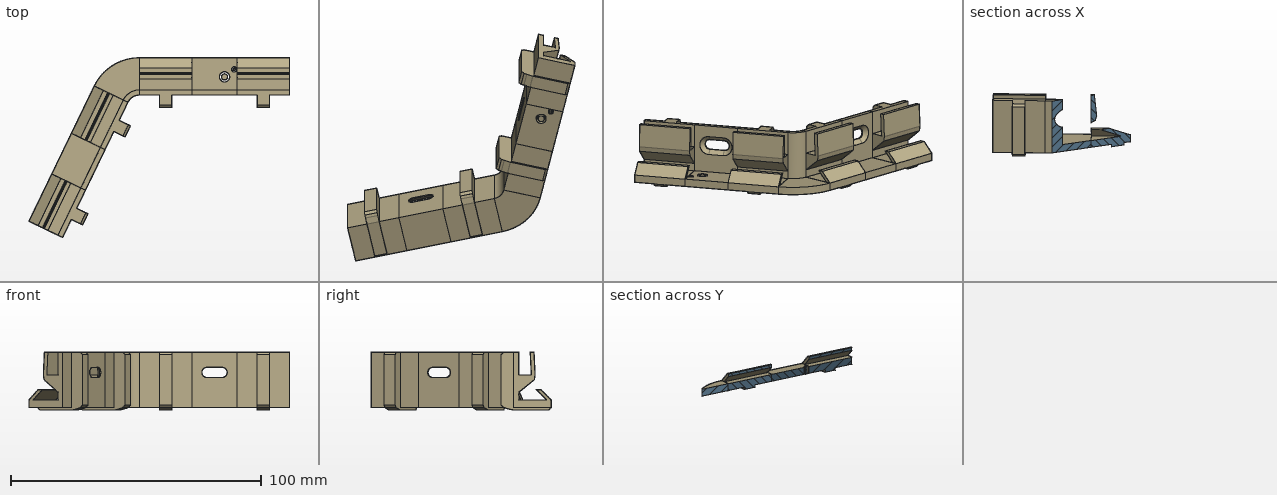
import cadquery as cq
import math

inner_angle = 115.78
bend_angle = 180 - inner_angle
inner_radius = 5.03
width = 15.0
outer_radius = inner_radius + width
height = 22.09
floor_thickness = 3.09
wall_thickness = 2.1
wall_outer_radius = inner_radius + wall_thickness

clip_length = 21.0
middle_length = 18.0
arm_length = 2 * clip_length + middle_length

clip_floor_thickness = 3.04
lip_rise = 4.1
lip_top_width = 1.9
lip_top = clip_floor_thickness + lip_rise

slot_bottom = 13.05
fin_top_reach = 8.15
fin_bulge_reach = 8.6
fin_heel_reach = 8.3
fin_thickness = 1.6
fin_heel_height = 11.1
fin_foot_height = 6.1

rib_width = 5.0
rib_reach = 5.0
rib_drop = 1.0
rib_chamfer = 1.0
rib_ramp_start = 4.6
rib_ramp_break = 2.1
rib_break_drop = 0.4

screw_slot_length = 10.0
screw_slot_height = 4.0
screw_slot_level = 14.0
flare = 1.7
straight_depth = 0.5

large_core = (13.0, 7.7, 2.5, 4.0)
small_core = (16.85, 4.7, 0.9, 2.0)


def swing(body):
    """Turn a body from the straight position beside the bend onto the second arm."""
    return body.rotate((0, 0, 0), (0, 0, 1), bend_angle)


def extrude_along_x(outline, start, length):
    """Extrude a (y, z) outline along X from the given start."""
    return cq.Workplane("YZ", origin=(start, 0, 0)).polyline(outline).close().extrude(length)


def make_rib(middle):
    tip = inner_radius - rib_reach
    outline = [
        (outer_radius, 0),
        (outer_radius - rib_chamfer, -rib_drop),
        (tip + rib_ramp_start, -rib_drop),
        (tip + rib_ramp_break, -rib_break_drop),
        (tip + rib_chamfer, 0),
        (tip, rib_chamfer),
        (tip, height - rib_chamfer),
        (tip + rib_chamfer, height),
        (inner_radius, height),
        (inner_radius, 0),
    ]
    return extrude_along_x(outline, middle - rib_width / 2, rib_width)


def make_clip(start):
    wall_face = wall_outer_radius
    lip_outer_edge = outer_radius - lip_rise
    outline = [
        (inner_radius, 0),
        (outer_radius, 0),
        (outer_radius, clip_floor_thickness),
        (lip_outer_edge, lip_top),
        (lip_outer_edge - lip_top_width, lip_top),
        (outer_radius - lip_top_width, clip_floor_thickness),
        (wall_face, clip_floor_thickness),
        (wall_face, fin_foot_height),
        (inner_radius + fin_heel_reach, fin_heel_height),
        (inner_radius + fin_bulge_reach, slot_bottom),
        (inner_radius + fin_top_reach, height),
        (inner_radius + fin_top_reach - fin_thickness, height),
        (inner_radius + fin_bulge_reach - fin_thickness, slot_bottom),
        (wall_face, slot_bottom),
        (wall_face, height),
        (inner_radius, height),
    ]
    clip = extrude_along_x(outline, start, clip_length)
    return clip.union(make_rib(start + clip_length / 2))


def make_middle(start):
    outline = [
        (inner_radius, 0),
        (outer_radius, 0),
        (outer_radius, floor_thickness),
        (wall_outer_radius, floor_thickness),
        (wall_outer_radius, height),
        (inner_radius, height),
    ]
    middle = extrude_along_x(outline, start, middle_length)
    flare_depth = wall_thickness - straight_depth
    flare_angle = math.degrees(math.atan(flare / flare_depth))
    slot_x = start + middle_length / 2
    straight_part = (
        cq.Workplane("XZ", origin=(slot_x, inner_radius, screw_slot_level))
        .slot2D(screw_slot_length, screw_slot_height)
        .extrude(-straight_depth)
    )
    flared_part = (
        cq.Workplane("XZ", origin=(slot_x, inner_radius + straight_depth, screw_slot_level))
        .slot2D(screw_slot_length, screw_slot_height)
        .extrude(-flare_depth, taper=-flare_angle)
    )
    return middle.cut(straight_part).cut(flared_part)


def sector(radius, top):
    """A pie slice of the bend, from the first arm's end to the second arm's end."""
    half = math.radians(bend_angle / 2)
    end = math.radians(bend_angle)
    mid_point = (-radius * math.sin(half), radius * math.cos(half))
    end_point = (-radius * math.sin(end), radius * math.cos(end))
    return (
        cq.Workplane("XY")
        .lineTo(0, radius)
        .threePointArc(mid_point, end_point)
        .close()
        .extrude(top)
    )


def make_corner():
    floor = sector(outer_radius, floor_thickness)
    wall = sector(wall_outer_radius, height)
    return floor.union(wall).cut(sector(inner_radius, height))


def floor_disc(piece_start, along, from_edge, diameter):
    """A disc through the full thickness of a middle piece's floor."""
    centre = (piece_start + along, outer_radius - from_edge, 0)
    return cq.Workplane("XY", origin=centre).circle(diameter / 2).extrude(floor_thickness)


corner = make_corner()

first_arm_clips = [make_clip(0), make_clip(clip_length + middle_length)]
second_arm_clips = [swing(make_clip(-clip_length)), swing(make_clip(-arm_length))]

first_middle = make_middle(clip_length)
second_middle = swing(make_middle(-clip_length - middle_length))

cores = []
for along, from_edge, core_diameter, gap_diameter in (large_core, small_core):
    first_middle = first_middle.cut(floor_disc(clip_length, along, from_edge, gap_diameter))
    cores.append(floor_disc(clip_length, along, from_edge, core_diameter))

bodies = [corner, *first_arm_clips, *second_arm_clips, first_middle, second_middle, *cores]
result = cq.Compound.makeCompound([body.val() for body in bodies])